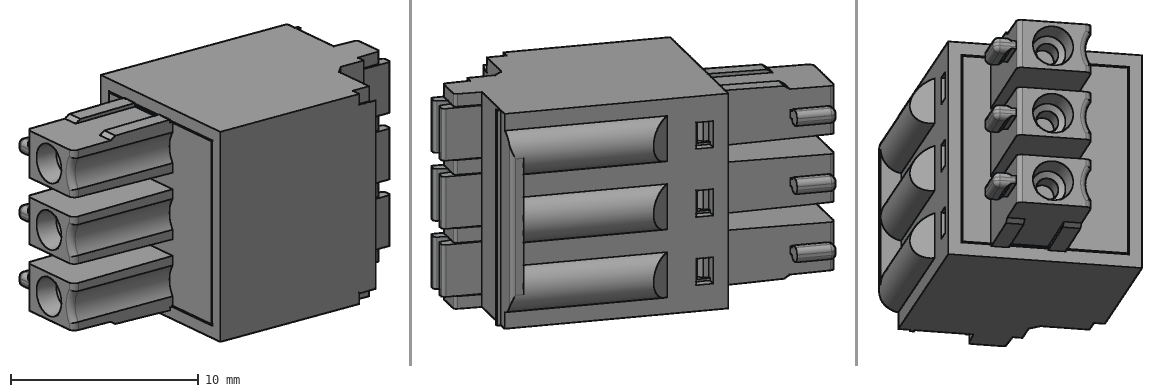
import cadquery as cq


pitch = 3.8
pole_heights = [-pitch, 0, pitch]

overall_length = 21.4

housing_width = 10.6
housing_height = 12.03
housing_depth = 12.5
step_x = 6.78
step_depth = 10.42
step_corner_depth = 10.95
step_chamfer = step_corner_depth - step_depth

rim_width = 0.7
groove_width = 0.075
groove_depth = 0.21

rib_height = 1.11
rib_half_width = 1.26
rib_radius = (rib_height**2 + rib_half_width**2) / (2 * rib_height)
rib_front = 3.4
rib_fillet = 0.25
web_front = 11.77

window_front = 0.83
window_length = 0.96
window_height = 1.48
window_depth = 0.6
latch_length = 0.7
latch_height = 1.22
latch_depth = 0.21
latch_flat = 0.32

notch_width = 0.6
notch_front = 9.3
notch_diameter = 1.71

lip_x = 0.66
lip_width = 0.24
lip_height = 0.21

rear_center_x = 5.18
rear_half_width = 1.07
fork_end = 14.72
fork_height = 2.9
fork_slot_floor = 13.4
slot_half_width_end = 0.45
slot_half_width_floor = 0.2
post_end = 14.04
post_half_width_end = 1.0
post_gap = 0.05
rear_fillet = 0.2

plug_left = 2.31
plug_width = 4.07
plug_right = plug_left + plug_width
plug_length = overall_length - fork_end
plug_half_height_root = 1.43
plug_half_height_end = 1.35
plug_fillet = 0.28
scallop_side_fillet = 0.35
scallop_diameter = 3.08
scallop_depth = 0.28

bore_x = 4.25
mouth_diameter = 2.2
throat_diameter = 1.88
throat_depth = 1.2
contact_diameter = 1.2
countersink_length = 0.21
contact_depth = 2.57

key_left = 1.1
key_back = -4.17
key_front = -6.42
key_height = 0.83
key_fillet = 0.32
key_taper_start = 1.8
key_taper_end = 2.05
neck_half_height = 0.21

strip_width = 0.96
collar_length = 0.17
collar_half_height = 1.48
strip_half_height_root = 1.65
strip_half_height_end = 1.58
strip_end = -3.83
ramp_end = -4.2


def box(x, y, z):
    """Box given by its (low, high) range along each axis."""
    size = (x[1] - x[0], y[1] - y[0], z[1] - z[0])
    return cq.Workplane("XY").box(*size, centered=False).translate((x[0], y[0], z[0]))


def plate(points, z_middle, height):
    """XY outline extruded along Z, half the height to each side of z_middle."""
    outline = cq.Workplane("XY", origin=(0, 0, z_middle)).polyline(points).close()
    return outline.extrude(height / 2, both=True)


def rod(x, z, diameter, y_start, y_end):
    """Cylinder along Y."""
    circle = cq.Workplane("XZ", origin=(x, y_start, z)).circle(diameter / 2)
    return circle.extrude(y_start - y_end)


def housing_body():
    outline = [
        (0, 0),
        (housing_width, 0),
        (housing_width, step_depth),
        (step_x + step_chamfer, step_depth),
        (step_x, step_corner_depth),
        (step_x, housing_depth),
        (0, housing_depth),
    ]
    body = plate(outline, 0, housing_height)
    lip = box(
        (lip_x, lip_x + lip_width),
        (housing_depth, housing_depth + lip_height),
        (-housing_height / 2, housing_height / 2),
    )
    return body.union(lip)


def front_groove():
    outer_width = housing_width - 2 * rim_width
    outer_height = housing_height - 2 * rim_width
    face = cq.Workplane("XZ", origin=(housing_width / 2, 0, 0))
    frame = face.rect(outer_width, outer_height)
    frame = frame.rect(outer_width - 2 * groove_width, outer_height - 2 * groove_width)
    return frame.extrude(-groove_depth)


def corner_notches():
    """Grooves along Y, centred on the top and bottom faces and open to the right and back."""
    notch_left = housing_width - notch_width
    half_height = housing_height / 2
    limits = box((notch_left, housing_width), (notch_front, step_depth), (-half_height, half_height))
    upper = rod(notch_left, half_height, notch_diameter, notch_front, step_depth)
    lower = rod(notch_left, -half_height, notch_diameter, notch_front, step_depth)
    return upper.union(lower).intersect(limits)


def left_ribs():
    """Round ribs joined by a web, sloped at the front and rounded at the back edge."""
    ribs = box((-rib_height, 0), (web_front, housing_depth), (-pitch, pitch))
    for z in pole_heights:
        ribs = ribs.union(rod(rib_radius - rib_height, z, 2 * rib_radius, rib_front, housing_depth))
    side_profile = [
        (0, rib_front),
        (-rib_height, rib_front + rib_height),
        (-rib_height, housing_depth),
        (0, housing_depth),
    ]
    limits = plate(side_profile, 0, housing_height)
    limits = limits.edges("|Z and <X and >Y").fillet(rib_fillet)
    return ribs.intersect(limits)


def window(z):
    """Rectangular window whose floor carries a narrower pocket with a sloped latch face."""
    half_height = window_height / 2
    opening = box(
        (0, window_depth),
        (window_front, window_front + window_length),
        (z - half_height, z + half_height),
    )
    slope_start = window_front + latch_flat
    latch_back = window_front + latch_length
    latch_floor = window_depth + latch_depth
    latch = [
        (window_depth, window_front),
        (latch_floor, window_front),
        (latch_floor, slope_start),
        (latch_floor + latch_back - slope_start, latch_back),
        (window_depth, latch_back),
    ]
    return opening.union(plate(latch, z, latch_height))


def fork(z):
    """Two-pronged block on the back face."""
    left = rear_center_x - rear_half_width
    right = rear_center_x + rear_half_width
    outline = [
        (left, housing_depth),
        (right, housing_depth),
        (right, fork_end),
        (rear_center_x + slot_half_width_end, fork_end),
        (rear_center_x + slot_half_width_floor, fork_slot_floor),
        (rear_center_x - slot_half_width_floor, fork_slot_floor),
        (rear_center_x - slot_half_width_end, fork_end),
        (left, fork_end),
    ]
    return plate(outline, z, fork_height).edges("|Z and >Y").fillet(rear_fillet)


def post(z_low, z_high):
    """Slightly tapered block on the back face."""
    outline = [
        (rear_center_x - rear_half_width, housing_depth),
        (rear_center_x + rear_half_width, housing_depth),
        (rear_center_x + post_half_width_end, post_end),
        (rear_center_x - post_half_width_end, post_end),
    ]
    block = plate(outline, (z_low + z_high) / 2, z_high - z_low)
    return block.edges("|Z and >Y").fillet(rear_fillet)


def posts():
    """Posts that fill the gaps between the forks and above and below them."""
    reach = fork_height / 2 + post_gap
    lows = [-housing_height / 2] + [z + reach for z in pole_heights]
    highs = [z - reach for z in pole_heights] + [housing_height / 2]
    blocks = cq.Workplane("XY")
    for z_low, z_high in zip(lows, highs):
        blocks = blocks.union(post(z_low, z_high))
    return blocks


def plug_bore(z):
    """Tapered mouth, countersink and contact hole, turned about the Y axis of the plug."""
    face = -plug_length
    profile = [
        (0, face),
        (mouth_diameter / 2, face),
        (throat_diameter / 2, face + throat_depth),
        (contact_diameter / 2, face + throat_depth + countersink_length),
        (contact_diameter / 2, face + contact_depth),
        (0, face + contact_depth),
    ]
    solid = cq.Workplane("XY").polyline(profile).close().revolve(360, (0, 0, 0), (0, 1, 0))
    return solid.translate((bore_x, 0, z))


def coding_key(z):
    """Rounded bar whose sides narrow to a neck where it meets the plug."""
    half_height = key_height / 2
    key = box((key_left, plug_left + plug_fillet), (key_front, key_back), (-half_height, half_height))
    key = key.edges("(|Y and <X) or <Y").edges("not(>X)").fillet(key_fillet)
    side = [
        (key_taper_start, half_height),
        (key_taper_end, neck_half_height),
        (plug_right, neck_half_height),
        (plug_right, half_height),
    ]
    relief = cq.Workplane("XZ", origin=(0, key_back, 0)).polyline(side).close()
    relief = relief.extrude(key_back - key_front)
    key = key.cut(relief).cut(relief.mirror("XY"))
    return key.translate((0, 0, z))


def plug(z):
    """Drafted plug with a scalloped right side, rounded front corners, bore and key."""
    taper = [
        (0, plug_half_height_root),
        (-plug_length, plug_half_height_end),
        (-plug_length, -plug_half_height_end),
        (0, -plug_half_height_root),
    ]
    body = cq.Workplane("YZ", origin=(plug_left, 0, 0)).polyline(taper).close().extrude(plug_width)
    scallop_x = plug_right - scallop_depth + scallop_diameter / 2
    body = body.cut(rod(scallop_x, 0, scallop_diameter, -plug_length, 0))
    body = body.faces("<Y").edges("<X").fillet(plug_fillet)
    scalloped_side = cq.selectors.BoxSelector(
        (plug_right - 2 * scallop_depth, -plug_length - scallop_depth, -plug_half_height_end),
        (plug_right + scallop_depth, -plug_length + scallop_depth, plug_half_height_end),
    )
    body = body.faces("<Y").edges(scalloped_side).fillet(scallop_side_fillet)
    return body.translate((0, 0, z)).cut(plug_bore(z)).union(coding_key(z))


def guide_strips():
    """Collar and two ramped strips on top of the highest plug."""
    strips = box(
        (plug_left, plug_right),
        (-collar_length, 0),
        (plug_half_height_end, collar_half_height),
    )
    side = [
        (-collar_length, plug_half_height_end),
        (-collar_length, strip_half_height_root),
        (strip_end, strip_half_height_end),
        (ramp_end, plug_half_height_end),
    ]
    for x in (plug_left, plug_right - strip_width):
        strip = cq.Workplane("YZ", origin=(x, 0, 0)).polyline(side).close().extrude(strip_width)
        strips = strips.union(strip)
    return strips.translate((0, 0, pitch))


connector = housing_body().union(left_ribs()).cut(front_groove()).cut(corner_notches()).union(posts())
for pole_z in pole_heights:
    connector = connector.cut(window(pole_z)).union(fork(pole_z)).union(plug(pole_z))
upper_strips = guide_strips()
result = connector.union(upper_strips).union(upper_strips.mirror("XY"))